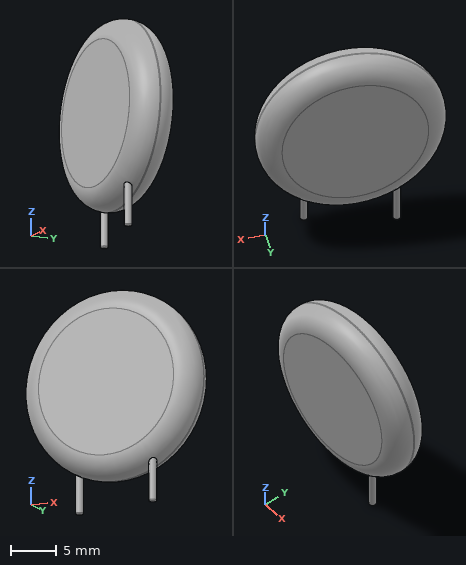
import cadquery as cq

body_diameter = 21.5
body_thickness = 5.1
rim_band_width = 0.124
overall_height = 24.53
lead_diameter = 0.9
lead_pitch = 10.0
lead_stagger = 2.15
lead_tip_round = 0.18

body_radius = body_diameter / 2
rim_round_radius = (body_thickness - rim_band_width) / 2
lead_tip_z = body_radius - overall_height
lead_top_z = -body_radius / 2


def make_body():
    """Disc with its axis along Y, centred on the origin, both rims rounded."""
    disc = cq.Workplane("XZ").circle(body_radius).extrude(body_thickness / 2, both=True)
    return disc.edges("%CIRCLE").fillet(rim_round_radius)


def make_lead(x, y):
    """Round vertical lead with a rounded lower tip."""
    lead = (
        cq.Workplane("XY", origin=(x, y, lead_tip_z))
        .circle(lead_diameter / 2)
        .extrude(lead_top_z - lead_tip_z)
    )
    return lead.faces("<Z").edges().fillet(lead_tip_round)


result = make_body()
for side in (-1, 1):
    result = result.union(make_lead(side * lead_pitch / 2, -side * lead_stagger / 2))